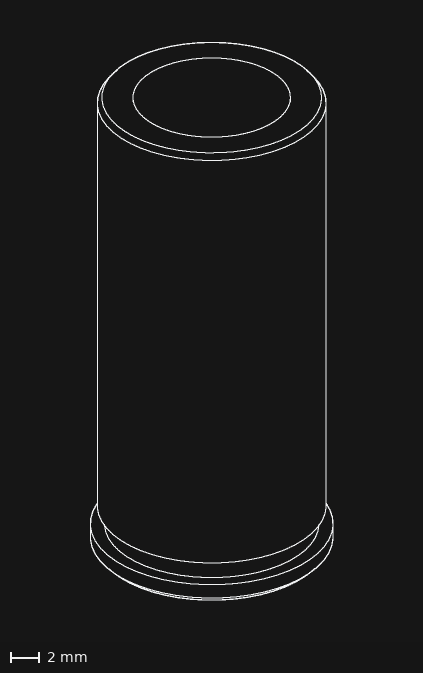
import cadquery as cq

length = 36.0
bore_diameter = 11.0
body_diameter = 16.02

flange_diameter = 17.0
flange_height = 1.5
groove_diameter = 15.0
groove_height = 1.48

flange_chamfer = 0.45
top_chamfer_height = 0.45
top_chamfer_width = 0.32

bore_radius = bore_diameter / 2
body_radius = body_diameter / 2
flange_radius = flange_diameter / 2
groove_radius = groove_diameter / 2
groove_top = flange_height + groove_height

half_section = (
    cq.Workplane("XZ")
    .moveTo(bore_radius, 0)
    .lineTo(flange_radius - flange_chamfer, 0)
    .lineTo(flange_radius, flange_chamfer)
    .lineTo(flange_radius, flange_height)
    .lineTo(groove_radius, flange_height)
    .lineTo(groove_radius, groove_top)
    .lineTo(body_radius, groove_top)
    .lineTo(body_radius, length - top_chamfer_height)
    .lineTo(body_radius - top_chamfer_width, length)
    .lineTo(bore_radius, length)
    .close()
)

result = half_section.revolve(360, (0, 0, 0), (0, 1, 0))